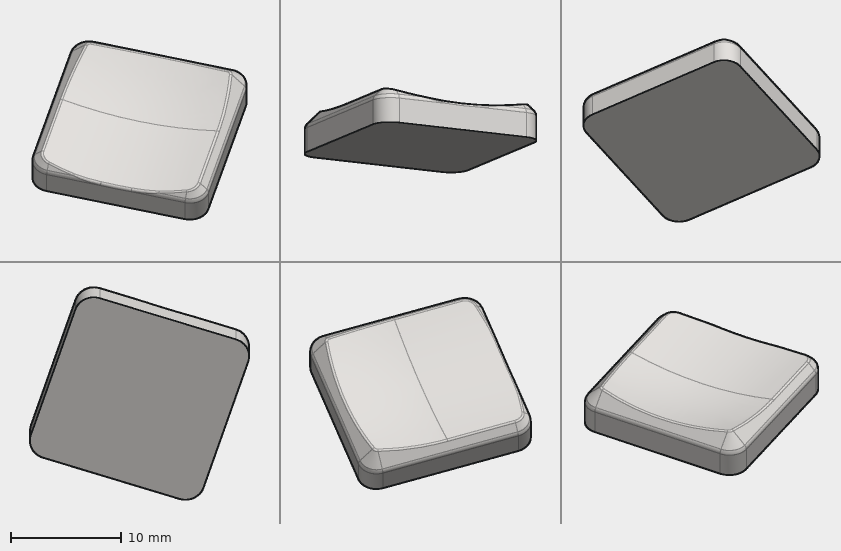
import cadquery as cq

side = 16.5
corner_radius = 1.75
shoulder_height = 2.53
slope_rise = 1.7
slope_angle = 45
shoulder_fillet = 0.57

dish_radius = 31.0
dish_floor = 2.51
rim_fillet = 0.25

dish_center_height = dish_floor + dish_radius
edge_pick_margin = 0.01


def square_prism(base_height, height, taper=0):
    """Rounded square prism standing on the given height."""
    outline = cq.Sketch().rect(side, side).vertices().fillet(corner_radius)
    plane = cq.Workplane("XY").workplane(offset=base_height)
    return plane.placeSketch(outline).extrude(height, taper=taper)


def make_body():
    """Straight-walled base and sloped crown, with a rounded shoulder between them."""
    base = square_prism(0, shoulder_height)
    crown = square_prism(shoulder_height, slope_rise, slope_angle)
    shoulder_edges = cq.selectors.BoxSelector(
        (-side, -side, shoulder_height - edge_pick_margin),
        (side, side, shoulder_height + edge_pick_margin),
    )
    return base.union(crown).edges(shoulder_edges).fillet(shoulder_fillet)


def cut_dish(body):
    """Cut a trough along -Y that runs smoothly into a bowl centered on the Z axis."""
    trough = (
        cq.Workplane("XZ")
        .center(0, dish_center_height)
        .circle(dish_radius)
        .extrude(side)
    )
    bowl = (
        cq.Workplane("XZ")
        .moveTo(0, dish_center_height)
        .lineTo(0, dish_floor)
        .radiusArc((dish_radius, dish_center_height), -dish_radius)
        .close()
        .revolve(180, (0, dish_floor, 0), (0, dish_center_height, 0))
    )
    return body.cut(trough).cut(bowl)


def round_rim(body):
    """Round the outer rim of the dish, leaving the seam between trough and bowl alone."""
    trough_face = body.faces(cq.selectors.NearestToPointSelector((0, -side / 4, dish_floor)))
    bowl_face = body.faces(cq.selectors.NearestToPointSelector((0, side / 4, dish_floor)))
    trough_edges = trough_face.edges().vals()
    bowl_edges = bowl_face.edges().vals()
    rim = [edge for edge in trough_edges if not any(edge.isSame(other) for other in bowl_edges)]
    rim += [edge for edge in bowl_edges if not any(edge.isSame(other) for other in trough_edges)]
    return body.newObject(rim).fillet(rim_fillet)


result = round_rim(cut_dish(make_body()))